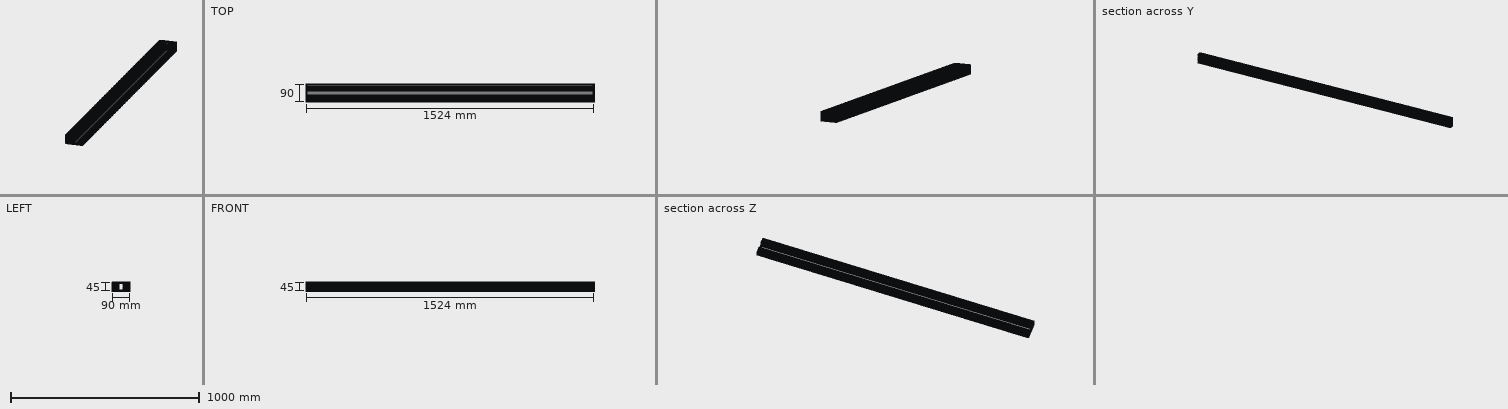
import cadquery as cq

length = 1524.0
width = 90.0
module = width / 2
half_module = module / 2
edge_radius = 2.6

slot_opening = 8.4
lip_thickness = 5.0
cavity_width = 14.0
cavity_depth = 15.0
skin_thickness = 0.8

bore_diameter = 7.5

outer_wall = 1.8
cavity_wall = 2.3

hollow_inner = cavity_width / 2 + cavity_wall
hollow_outer = half_module - outer_wall

chamber_half_width = half_module - hollow_inner


def prism(points):
    """Extrude a closed YZ outline over the full length, centred on the origin."""
    return cq.Workplane("YZ").polyline(points).close().extrude(length / 2, both=True)


def slot(angle, cover=0):
    """T-slot facing +Z below a cover of the given thickness, then turned about X."""
    right = [
        (slot_opening / 2, half_module - cover),
        (slot_opening / 2, half_module - lip_thickness),
        (cavity_width / 2, half_module - lip_thickness),
        (cavity_width / 2, half_module - cavity_depth),
    ]
    left = [(-y, z) for y, z in reversed(right)]
    return prism(right + left).rotate((0, 0, 0), (1, 0, 0), angle)


def corner_hollow(side_y, side_z):
    """Square hollow in an outer corner of a module."""
    size = hollow_outer - hollow_inner
    centre = (hollow_outer + hollow_inner) / 2
    return cq.Workplane("XY").box(length, size, size).translate((0, side_y * centre, side_z * centre))


def bore():
    """Round hole along the axis of a module."""
    return cq.Workplane("YZ").circle(bore_diameter / 2).extrude(length / 2, both=True)


def module_voids(side):
    """All voids of the module on the given Y side, in its own centred coordinates."""
    covered_slots = [slot(0, skin_thickness), slot(180, skin_thickness)]
    open_slot = slot(-90 * side)
    hollows = [corner_hollow(side, side_z) for side_z in (-1, 1)]
    return covered_slots + [open_slot, bore()] + hollows


def central_chamber():
    """Cross-shaped chamber between the modules, reaching sideways towards both bores."""
    upper_right = [
        (cavity_depth, cavity_width / 2),
        (chamber_half_width, cavity_width / 2),
        (chamber_half_width, hollow_outer),
    ]
    upper_left = [(-y, z) for y, z in reversed(upper_right)]
    upper = upper_right + upper_left
    lower = [(-y, -z) for y, z in upper]
    return prism(upper + lower)


bar = cq.Workplane("XY").box(length, width, module).edges("|X").fillet(edge_radius)
result = bar.cut(central_chamber())
for side in (-1, 1):
    for void in module_voids(side):
        result = result.cut(void.translate((0, side * half_module, 0)))